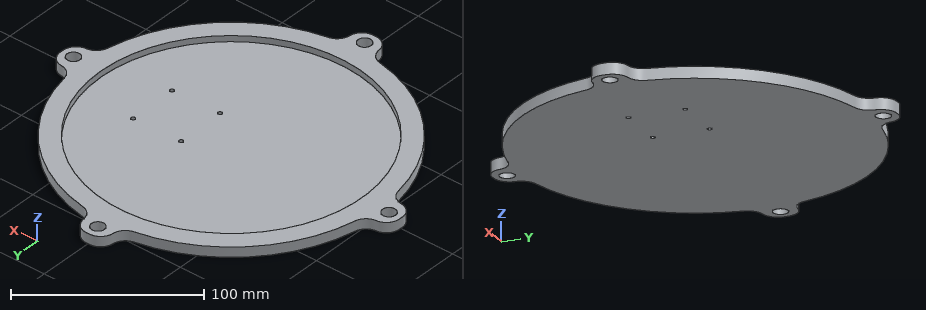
import cadquery as cq
import math

overall_width = 230.0
thickness = 6.7
rim_radius = 100.0
recess_diameter = 176.0
recess_depth = 4.0

lug_count = 4
lug_tip_width = 2.0
lug_corner_radius = 9.0
lug_blend_radius = 9.0
lug_hole_diameter = 8.5
lug_hole_distance = 107.0

small_hole_diameter = 2.5
small_hole_spacing = 32.0
small_hole_center = (35.9, 1.4)
small_hole_turn = 1.2


def point_between(start, end, distance):
    """Point at a distance from start along the line toward end."""
    ratio = distance / math.dist(start, end)
    return (
        start[0] + ratio * (end[0] - start[0]),
        start[1] + ratio * (end[1] - start[1]),
    )


def make_lug():
    """Lug on the +Y axis, with concave blends tangent to the rim and to its rounded corners."""
    tip_y = overall_width / 2
    corner = (lug_tip_width / 2, tip_y - lug_corner_radius)

    rim_reach = rim_radius + lug_blend_radius
    corner_reach = lug_corner_radius + lug_blend_radius
    corner_distance = math.hypot(*corner)
    cosine = (rim_reach**2 + corner_distance**2 - corner_reach**2) / (2 * rim_reach * corner_distance)
    blend_angle = math.atan2(corner[1], corner[0]) - math.acos(cosine)
    blend = (rim_reach * math.cos(blend_angle), rim_reach * math.sin(blend_angle))

    rim_point = point_between(blend, (0, 0), lug_blend_radius)
    corner_point = point_between(blend, corner, lug_blend_radius)
    blend_middle_target = ((rim_point[0] + corner_point[0]) / 2, (rim_point[1] + corner_point[1]) / 2)
    blend_middle = point_between(blend, blend_middle_target, lug_blend_radius)
    diagonal = lug_corner_radius * math.sqrt(0.5)
    corner_middle = (corner[0] + diagonal, corner[1] + diagonal)
    tip_point = (corner[0], tip_y)

    half_lug = (
        cq.Workplane("XY")
        .lineTo(*rim_point)
        .threePointArc(blend_middle, corner_point)
        .threePointArc(corner_middle, tip_point)
        .lineTo(0, tip_y)
        .close()
        .extrude(thickness)
    )
    return half_lug.union(half_lug.mirror("YZ"))


def make_plate():
    plate = cq.Workplane("XY").circle(rim_radius).extrude(thickness)
    lug = make_lug()
    for index in range(lug_count):
        plate = plate.union(lug.rotate((0, 0, 0), (0, 0, 1), index * 360 / lug_count))
    return plate


def make_recess():
    return (
        cq.Workplane("XY")
        .workplane(offset=thickness - recess_depth)
        .circle(recess_diameter / 2)
        .extrude(recess_depth)
    )


def make_lug_holes():
    return (
        cq.Workplane("XY")
        .polarArray(lug_hole_distance, 0, 360, lug_count)
        .circle(lug_hole_diameter / 2)
        .extrude(thickness)
    )


def make_small_holes():
    return (
        cq.Workplane("XY")
        .rarray(small_hole_spacing, small_hole_spacing, 2, 2)
        .circle(small_hole_diameter / 2)
        .extrude(thickness)
        .rotate((0, 0, 0), (0, 0, 1), small_hole_turn)
        .translate((*small_hole_center, 0))
    )


result = make_plate().cut(make_recess()).cut(make_lug_holes()).cut(make_small_holes())